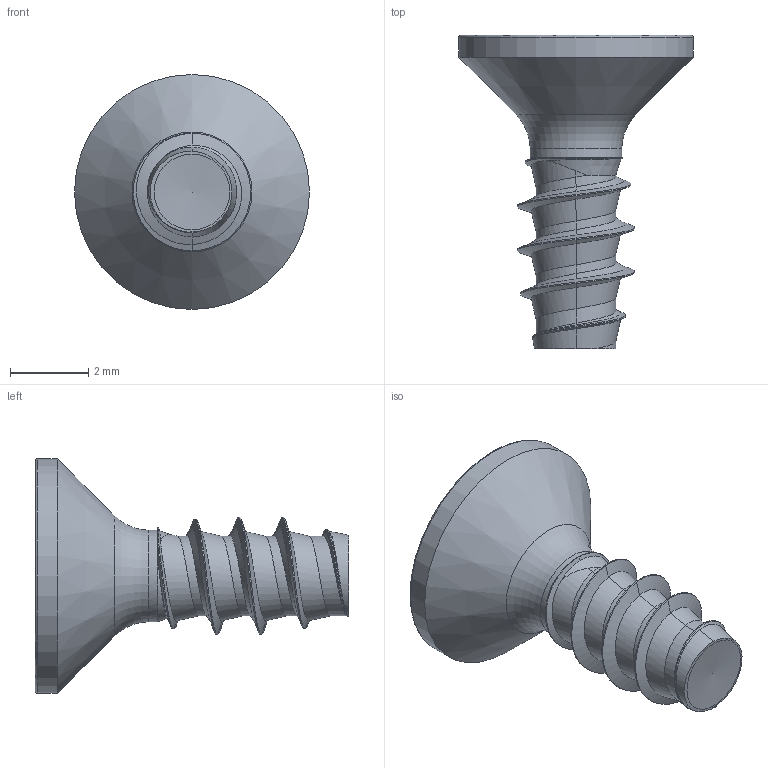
import cadquery as cq
import math

total_length = 8.0

head_radius = 3.0
rim_height = 0.56
rim_fillet = 0.05
cone_end_radius = 1.53

shank_radius = 1.17
shank_end = -3.12
core_radius = 1.02
core_taper_length = 0.45

tip_y = -total_length
dimple_radius = 0.97
dimple_depth = 0.06

pitch = 1.12
crest_radius = 1.5
crest_width = 0.03
head_flank_width = 0.245
kink_width = 0.1
kink_radius = 1.25
tip_flank_width = 0.12
ramp_top_radius = 1.145
ramp_width = 0.71
embed_depth = 0.012
root_radius = 0.8
crest_y_reference = -6.32
reference_angle = math.pi / 2

first_turn = -3.5
last_turn = 2.0
full_height_from = -1.75
lead_in_rise = 0.2
run_out_fall = 0.312
lead_in_crest_y = shank_end
lead_in_blend = 0.03
half_turn = 0.5
steps_per_half_turn = 12


def revolved_body():
    """Head, shank and plain core in one turn about the Y axis."""
    cone_end_y = -rim_height - (head_radius - cone_end_radius)
    slope = math.pi / 4
    neck_radius = (cone_end_radius - shank_radius) / (1 - math.cos(slope))
    neck_end_y = cone_end_y - neck_radius * math.sin(slope)
    neck_mid = (
        neck_end_y + neck_radius * math.sin(slope / 2),
        shank_radius + neck_radius * (1 - math.cos(slope / 2)),
    )
    outline = (
        cq.Workplane("YZ")
        .lineTo(0, head_radius)
        .lineTo(-rim_height, head_radius)
        .lineTo(cone_end_y, cone_end_radius)
        .threePointArc(neck_mid, (neck_end_y, shank_radius))
        .lineTo(shank_end, shank_radius)
        .lineTo(shank_end - core_taper_length, core_radius)
        .lineTo(tip_y, core_radius)
        .lineTo(tip_y, 0)
        .close()
    )
    body = outline.revolve(360, (0, 0, 0), (1, 0, 0))
    return body.faces(">Y").edges().fillet(rim_fillet)


def crest_radius_at(turn):
    """Crest radius: grows over the lead-in, stays full, then falls towards the tip."""
    lead_in_loss = lead_in_rise * max(0, full_height_from - turn)
    run_out_loss = run_out_fall * max(0, turn)
    return max(core_radius + 2 * embed_depth, crest_radius - lead_in_loss - run_out_loss)


def thread_section(turn):
    """Corners of the thread section as (radius, y), from the head side to the tip side."""
    helix_y = crest_y_reference - pitch * turn
    overshoot = (helix_y - lead_in_crest_y) / lead_in_blend
    crest_y = helix_y - lead_in_blend * math.log(1 + math.exp(overshoot))

    tip_radius = crest_radius_at(turn)
    fullness = (tip_radius - core_radius) / (crest_radius - core_radius)
    half_crest = crest_width / 2
    base_radius = core_radius - embed_depth
    head_base_y = crest_y + half_crest + (head_flank_width - half_crest) * fullness
    kink_y = crest_y + half_crest + (kink_width - half_crest) * fullness
    ramp_top_y = crest_y - half_crest - (tip_flank_width - half_crest) * fullness
    ramp_end_y = helix_y - ramp_width
    ramp_slope = (ramp_top_radius - base_radius) / (ramp_width - tip_flank_width)
    ramp_line_radius = base_radius + ramp_slope * (ramp_top_y - ramp_end_y)
    ramp_radius = min(ramp_top_radius, ramp_line_radius, tip_radius - embed_depth)
    return [
        (root_radius, head_base_y),
        (base_radius, head_base_y),
        (core_radius + (kink_radius - core_radius) * fullness, kink_y),
        (tip_radius, crest_y + half_crest),
        (tip_radius, crest_y - half_crest),
        (ramp_radius, ramp_top_y),
        (base_radius, ramp_end_y),
        (root_radius, ramp_end_y),
    ]


def section_corners(turn):
    """Corners of the thread section placed in space."""
    angle = reference_angle + 2 * math.pi * turn
    return [
        cq.Vector(radius * math.cos(angle), y, radius * math.sin(angle))
        for radius, y in thread_section(turn)
    ]


def half_turn_faces(start_turn):
    """Ruled faces between the winding curves of neighbouring section corners."""
    step = half_turn / steps_per_half_turn
    sections = [section_corners(start_turn + i * step) for i in range(steps_per_half_turn + 1)]
    curves = [cq.Edge.makeSpline(list(path)) for path in zip(*sections)]
    neighbours = zip(curves, curves[1:] + curves[:1])
    return [cq.Face.makeRuledSurface(one, other) for one, other in neighbours]


def thread_ridge():
    """Solid ridge, closed by a flat section at each end."""
    faces = []
    for end_turn in (first_turn, last_turn):
        outline = cq.Wire.makePolygon(section_corners(end_turn), close=True)
        faces.append(cq.Face.makeFromWires(outline))
    for i in range(round((last_turn - first_turn) / half_turn)):
        faces += half_turn_faces(first_turn + i * half_turn)
    return cq.Workplane(cq.Solid.makeSolid(cq.Shell.makeShell(faces).fix()).fix())


def thread_zone():
    """Cylinder between the end of the shank and the tip plane, which trims the ridge."""
    start = cq.Workplane("XZ", origin=(0, shank_end, 0))
    return start.circle(head_radius).extrude(shank_end - tip_y)


def tip_dimple():
    """Shallow cone pressed into the tip face."""
    triangle = (
        cq.Workplane("YZ")
        .moveTo(tip_y, 0)
        .lineTo(tip_y, dimple_radius)
        .lineTo(tip_y + dimple_depth, 0)
        .close()
    )
    return triangle.revolve(360, (0, 0, 0), (1, 0, 0))


thread = thread_ridge().intersect(thread_zone())
result = revolved_body().union(thread).cut(tip_dimple())